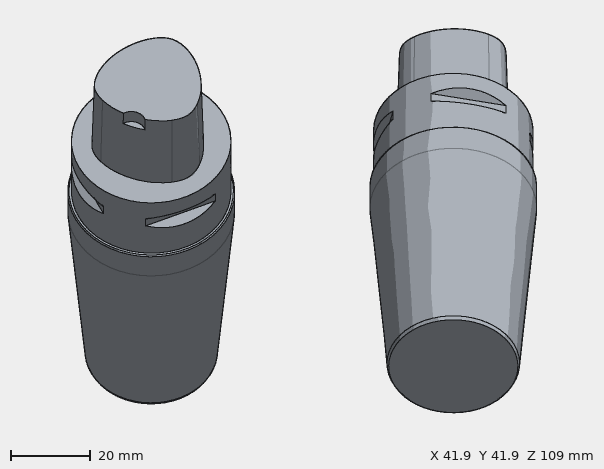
import cadquery as cq
import math

total_height = 109.0
shank_length = 24.0
neck_length = 20.1
collar_length = 8.0
bottom_edge_height = 1.0
shoulder_z = total_height - shank_length
collar_top_z = shoulder_z - neck_length
collar_bottom_z = collar_top_z - collar_length

collar_radius = 41.9 / 2
neck_radius = 40.0 / 2
bottom_radius = 33.2 / 2
collar_chamfer = 0.3
bottom_edge_inset = 0.4

shank_base_radius = 28.0 / 2
shank_taper = 1 / 40
shank_top_radius = shank_base_radius - shank_taper * shank_length
lobe_offset = 1.0
lobe_count = 3
first_lobe_angle = 90.0
points_per_side = 9

notch_width = 6.3
notch_depth = 4.0
notch_back_y = -10.8
notch_radius = 3.6

recess_count = 4
first_recess_angle = 45.0
recess_z = 77.2
recess_floor_height = 2.7
recess_floor_radius = 17.5
recess_wall_angle = 30.0


def lobe_point(radius, angle):
    """Point of the constant-width curve whose outward normal is at this angle in degrees."""
    normal = math.radians(angle)
    phase = math.radians(lobe_count * (angle - first_lobe_angle))
    support = radius + lobe_offset * math.cos(phase)
    slope = -lobe_count * lobe_offset * math.sin(phase)
    return (
        support * math.cos(normal) - slope * math.sin(normal),
        support * math.sin(normal) + slope * math.cos(normal),
    )


def lobe_tangent(angle):
    """Direction of travel along the curve where the outward normal is at this angle."""
    normal = math.radians(angle)
    return (-math.sin(normal), math.cos(normal))


def lobe_outline(plane, radius):
    """Closed outline of alternating lobes and flatter flanks, joined tangentially."""
    side_span = 360 / (2 * lobe_count)
    start = first_lobe_angle - side_span / 2
    outline = plane.moveTo(*lobe_point(radius, start))
    for side in range(2 * lobe_count):
        first = start + side * side_span
        angles = [first + side_span * i / points_per_side for i in range(1, points_per_side + 1)]
        outline = outline.spline(
            [lobe_point(radius, angle) for angle in angles],
            tangents=[lobe_tangent(first), lobe_tangent(first + side_span)],
            includeCurrent=True,
        )
    return outline.close()


def make_body():
    """Neck, collar and tapered lower body, turned about Z."""
    return (
        cq.Workplane("XZ")
        .moveTo(0, 0)
        .lineTo(bottom_radius - bottom_edge_inset, 0)
        .lineTo(bottom_radius, bottom_edge_height)
        .lineTo(collar_radius, collar_bottom_z)
        .lineTo(collar_radius, collar_top_z - collar_chamfer)
        .lineTo(collar_radius - collar_chamfer, collar_top_z)
        .lineTo(neck_radius, collar_top_z)
        .lineTo(neck_radius, shoulder_z)
        .lineTo(0, shoulder_z)
        .close()
        .revolve(360, (0, 0, 0), (0, 1, 0))
    )


def make_shank():
    """Tapered three-lobed shank standing on the shoulder."""
    base = lobe_outline(cq.Workplane("XY").workplane(offset=shoulder_z), shank_base_radius)
    top_plane = base.workplane(offset=shank_length)
    return lobe_outline(top_plane, shank_top_radius).loft(ruled=True)


def make_notch():
    """Vertical scoop with a round back, clipped to the notch width."""
    scoop = (
        cq.Workplane("XY")
        .workplane(offset=total_height - notch_depth)
        .center(0, notch_back_y - notch_radius)
        .circle(notch_radius)
        .extrude(notch_depth)
    )
    width_limit = cq.Workplane("XY").box(notch_width, 4 * notch_radius, 2 * notch_depth)
    return scoop.intersect(width_limit.translate((0, notch_back_y, total_height)))


def make_recess():
    """Flat-floored recess on the +X side with walls flaring outward."""
    reach = collar_radius - recess_floor_radius
    inner = recess_floor_height / 2
    outer = inner + reach * math.tan(math.radians(recess_wall_angle))
    return (
        cq.Workplane("XZ")
        .polyline([
            (recess_floor_radius, recess_z - inner),
            (collar_radius, recess_z - outer),
            (collar_radius, recess_z + outer),
            (recess_floor_radius, recess_z + inner),
        ])
        .close()
        .extrude(collar_radius, both=True)
    )


result = make_body().union(make_shank()).cut(make_notch())
recess = make_recess()
for index in range(recess_count):
    recess_angle = first_recess_angle + index * 360 / recess_count
    result = result.cut(recess.rotate((0, 0, 0), (0, 0, 1), recess_angle))